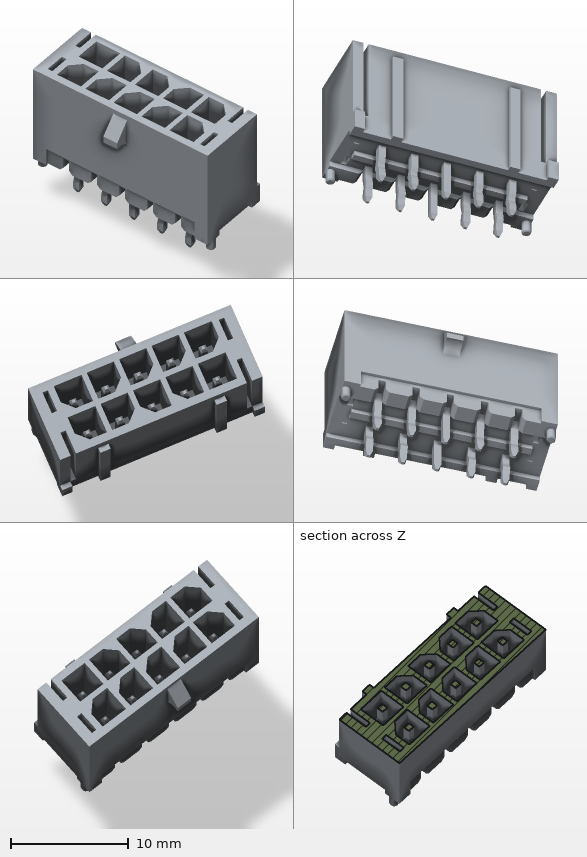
import cadquery as cq
import math


length = 18.7
depth = 6.88
height = 9.91
columns = 5
pitch = 3.0
middle_y = depth / 2
row_y = {"front": middle_y - pitch / 2, "back": middle_y + pitch / 2}
column_x = [pitch * (i - (columns - 1) / 2) for i in range(columns)]

cavity_size = 2.5
end_cavity_extra = 0.05
cavity_floor = 2.43
cavity_corner_cut = 0.97
cavity_corners = {"front": [-1, -1, -1, -1, 1], "back": [0, 1, 1, -1, 1]}

pin_width = 0.64
pin_tip_width = 0.25
pin_tip_height = 0.47
pin_bottom = -3.2
pin_top = 7.48
bend_top = -0.56
upper_flare_height = 0.52
bend_straight_height = 0.19
crown_height = 0.5
lower_flare_height = 0.64
bend_angle = {"front": 17.0, "back": -22.0}

tunnel_front = 1.66
tunnel_back = 6.17
tunnel_height = 0.52
rib_clearance = 0.05
recess_width = 15.85
recess_height = 1.8
recess_depth = 0.26
pin_slot_height = 1.44
slot_corner_cut = 0.34

clip_slot_inner = 7.9
clip_slot_width = 0.49
clip_slot_floor = 1.9
front_slot = (0.82, 2.8)
front_slot_opening = (1.78, 2.8)
back_slot = (4.68, depth)
back_slot_opening = (4.68, 4.8)

foot_width = 0.94
foot_depth = 0.45
foot_height = 1.9
rail_x = 5.37
rail_width = 0.95
rail_depth = 0.49
rail_top = 8.83

latch_width = 1.48
latch_reach = 1.38
latch_top = 9.42
latch_nose_top = 7.8
latch_nose_bottom = 7.15
latch_root_bottom = 6.55
latch_arc_middle = (-0.55, 7.1)

peg_radius = 0.41
peg_flat_distance = 0.35
peg_y = 0.94
peg_length = 1.15
peg_chamfer = 0.11


def block(x_range, y_range, z_range):
    """Box spanning the given ranges."""
    return (
        cq.Workplane("XY", origin=(x_range[0], y_range[0], z_range[0]))
        .box(
            x_range[1] - x_range[0],
            y_range[1] - y_range[0],
            z_range[1] - z_range[0],
            centered=False,
        )
    )


def centered_range(middle, width):
    return (middle - width / 2, middle + width / 2)


def cavity(index, row):
    """Square cavity with at most one of its rear corners cut off."""
    left, right = centered_range(column_x[index], cavity_size)
    if index == 0:
        left -= end_cavity_extra
    if index == columns - 1:
        right += end_cavity_extra
    y_range = centered_range(row_y[row], cavity_size)
    body = block((left, right), y_range, (cavity_floor, height))
    corner = cavity_corners[row][index]
    if corner == 0:
        return body
    corner_edge = "|Z and >Y and " + (">X" if corner > 0 else "<X")
    return body.edges(corner_edge).chamfer(cavity_corner_cut)


def pin_tip(x, y, base_z, end_z):
    """Blunt pyramid at one end of a pin."""
    return (
        cq.Workplane("XY", origin=(x, y, base_z))
        .rect(pin_width, pin_width)
        .workplane(offset=end_z - base_z)
        .rect(pin_tip_width, pin_tip_width)
        .loft(ruled=True)
    )


def bowed_block(x, face_y, back_limit, z_range, angle):
    """Block from a bowed face, whose upper part leans by the given angle, to a flat limit."""
    flare_end_z = bend_top - upper_flare_height
    crown_start_z = flare_end_z - bend_straight_height
    crown_end_z = crown_start_z - crown_height
    bend_bottom = crown_end_z - lower_flare_height

    upper_angle = math.radians(angle)
    upper_share = upper_flare_height / 2 + bend_straight_height + crown_height / 2
    lower_share = lower_flare_height / 2 + crown_height / 2
    lower_angle = upper_angle * upper_share / lower_share

    flare_end_y = face_y + upper_flare_height * math.tan(upper_angle / 2)
    crown_start_y = flare_end_y + bend_straight_height * math.tan(upper_angle)
    crown_end_y = face_y + lower_flare_height * math.tan(lower_angle / 2)

    bottom, top = z_range
    return (
        cq.Workplane("YZ", origin=(x - pin_width / 2, 0, 0))
        .moveTo(face_y, top)
        .lineTo(face_y, bend_top)
        .tangentArcPoint((flare_end_y, flare_end_z), relative=False)
        .lineTo(crown_start_y, crown_start_z)
        .tangentArcPoint((crown_end_y, crown_end_z), relative=False)
        .tangentArcPoint((face_y, bend_bottom), relative=False)
        .lineTo(face_y, bottom)
        .lineTo(back_limit, bottom)
        .lineTo(back_limit, top)
        .close()
        .extrude(pin_width)
    )


def pin(x, y, angle):
    """Square pin with blunt ends, whose tail bows along Y when the angle is not zero."""
    shank_z = (pin_bottom + pin_tip_height, pin_top - pin_tip_height)
    front, back = centered_range(y, pin_width)
    if angle == 0:
        shank = block(centered_range(x, pin_width), (front, back), shank_z)
    else:
        back_limit = back + pin_width
        behind_front = bowed_block(x, front, back_limit, shank_z, angle)
        behind_back = bowed_block(x, back, back_limit, shank_z, angle)
        shank = behind_front.cut(behind_back)
    lower_tip = pin_tip(x, y, shank_z[0], pin_bottom)
    upper_tip = pin_tip(x, y, shank_z[1], pin_top)
    return shank.union(lower_tip).union(upper_tip)


def pin_slot(x):
    """Slot through the front wall under a pin, flared at its mouth."""
    half_width = pin_width / 2
    half_mouth = half_width + slot_corner_cut
    return (
        cq.Workplane("XZ", origin=(x, 0, 0))
        .moveTo(-half_mouth, 0)
        .lineTo(-half_width, slot_corner_cut)
        .lineTo(-half_width, pin_slot_height)
        .lineTo(half_width, pin_slot_height)
        .lineTo(half_width, slot_corner_cut)
        .lineTo(half_mouth, 0)
        .close()
        .extrude(-tunnel_front)
    )


def latch():
    """Ramped catch with a hollowed underside."""
    return (
        cq.Workplane("YZ", origin=(-latch_width / 2, 0, 0))
        .moveTo(0, latch_top)
        .lineTo(-latch_reach, latch_nose_top)
        .lineTo(-latch_reach, latch_nose_bottom)
        .threePointArc(latch_arc_middle, (0, latch_root_bottom))
        .close()
        .extrude(latch_width)
    )


def peg(side):
    """Chamfered round peg, trimmed level with the end of the housing."""
    end_x = side * length / 2
    peg_x = end_x - side * peg_flat_distance
    round_peg = (
        cq.Workplane("XY", origin=(peg_x, peg_y, 0))
        .circle(peg_radius)
        .extrude(-peg_length)
        .faces("<Z")
        .chamfer(peg_chamfer)
    )
    within_housing = block((-length / 2, length / 2), (0, depth), (-peg_length, 0))
    return round_peg.intersect(within_housing)


def side_range(side, inner, outer):
    """X range between two distances from the middle, on the given side."""
    return tuple(sorted((side * inner, side * outer)))


half_length = length / 2
full_x = (-half_length, half_length)
recess_x = centered_range(0, recess_width)
housing = block(full_x, (0, depth), (0, height))
housing = housing.cut(block(full_x, (tunnel_front, tunnel_back), (0, tunnel_height)))
housing = housing.cut(block(recess_x, (0, recess_depth), (0, recess_height)))
for x in column_x:
    housing = housing.cut(pin_slot(x))

rib_y = centered_range(middle_y, pin_width)
housing = housing.union(block(recess_x, rib_y, (rib_clearance, tunnel_height)))

for side in (-1, 1):
    slot_x = side_range(side, clip_slot_inner, clip_slot_inner + clip_slot_width)
    for slot_y in (front_slot, back_slot):
        housing = housing.cut(block(slot_x, slot_y, (clip_slot_floor, height)))
    for opening_y in (front_slot_opening, back_slot_opening):
        housing = housing.cut(block(slot_x, opening_y, (0, clip_slot_floor)))
    foot_x = side_range(side, half_length - foot_width, half_length)
    housing = housing.union(block(foot_x, (depth, depth + foot_depth), (0, foot_height)))
    rail = block(
        centered_range(side * rail_x, rail_width), (depth, depth + rail_depth), (0, rail_top)
    )
    housing = housing.union(rail).union(peg(side))

housing = housing.union(latch())

result = housing
for row, y in row_y.items():
    for index, x in enumerate(column_x):
        angle = 0 if index == columns // 2 else bend_angle[row]
        result = result.cut(cavity(index, row)).union(pin(x, y, angle))